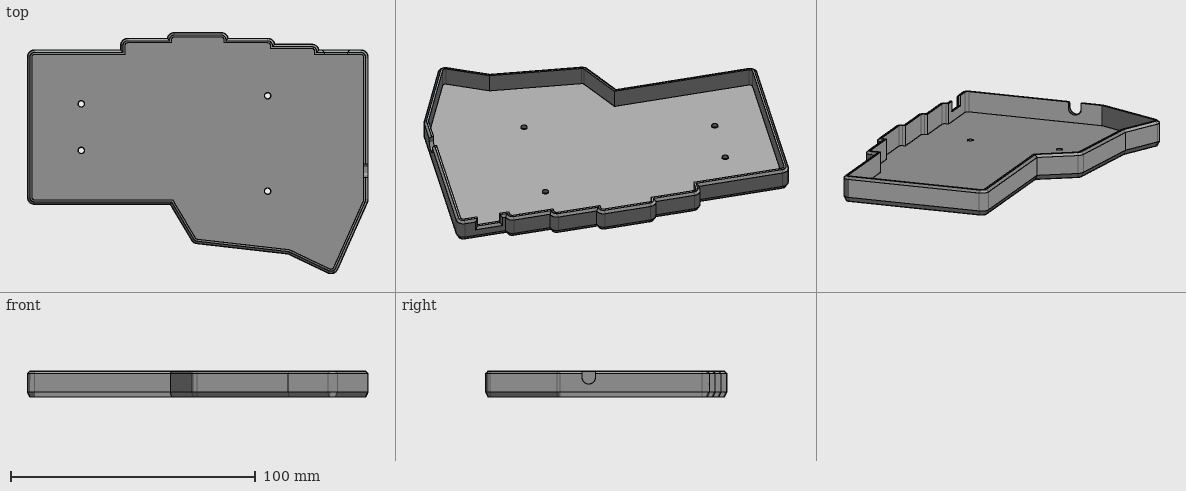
import cadquery as cq
PITCH = 19.05
COLUMNS = 7
ROWS = 3
STAGGER = 2.375
CONTROLLER_X = 113.3
grid_width = COLUMNS * PITCH
grid_depth = ROWS * PITCH

THUMB_CORNERS = [
    (3 * PITCH, 0.0),
    (66.7, -16.1),
    (104.5, -20.4),
    (121.15, -28.345),
    (grid_width, -1.0),
]

HEIGHT = 10.6
FLOOR = 2.0
CLEARANCE = 1.2
WALL = 1.8
TOP_CHAMFER = 1.0
TOP_CHAMFER_ANGLE = 45
BOTTOM_CHAMFER = 1.0
BOTTOM_CHAMFER_HEIGHT = 2.0
outer_offset = CLEARANCE + WALL

SCREW_DIAMETER = 2.5
SCREW_CENTRES = [
    (PITCH, PITCH),
    (PITCH, 2 * PITCH),
    (5 * PITCH, 2.4),
    (5 * PITCH, 41.4),
]

USB_WIDTH = 9.4
USB_X = 123.2
USB_BOTTOM = 6.2

JACK_WIDTH = 5.5
JACK_Y = 10.8
JACK_Z = 8.1

CUT_LENGTH = 2 * outer_offset


def case_outline(offset):
    """Key-field outline grown outward, with rounded convex corners."""
    one_step = grid_depth + STAGGER
    two_steps = grid_depth + 2 * STAGGER
    three_steps = grid_depth + 3 * STAGGER
    points = [
        (0, 0),
        (0, grid_depth),
        (2 * PITCH, grid_depth),
        (2 * PITCH, two_steps),
        (3 * PITCH, two_steps),
        (3 * PITCH, three_steps),
        (4 * PITCH, three_steps),
        (4 * PITCH, two_steps),
        (5 * PITCH, two_steps),
        (5 * PITCH, one_step),
        (CONTROLLER_X, one_step),
        (CONTROLLER_X, grid_depth),
        (grid_width, grid_depth),
    ]
    points += reversed(THUMB_CORNERS)
    return cq.Workplane("XY").polyline(points).close().offset2D(offset, "arc")


def open_case():
    """Tray with chamfered outer top and bottom edges."""
    body = case_outline(outer_offset).extrude(HEIGHT)
    body = body.faces("<Z").chamfer(BOTTOM_CHAMFER_HEIGHT, BOTTOM_CHAMFER)
    body = body.faces(">Z").chamfer(TOP_CHAMFER)
    cavity = case_outline(CLEARANCE).extrude(HEIGHT).translate((0, 0, FLOOR))
    return body.cut(cavity)


def screw_holes():
    return cq.Workplane("XY").pushPoints(SCREW_CENTRES).circle(SCREW_DIAMETER / 2).extrude(FLOOR)


def usb_notch():
    """Open-topped notch whose outer rim is chamfered like the top edge."""
    outer_face = cq.Workplane("XZ", origin=(USB_X, grid_depth + outer_offset, USB_BOTTOM + HEIGHT / 2))
    notch = outer_face.rect(USB_WIDTH, HEIGHT).extrude(CUT_LENGTH)
    rim_width = USB_WIDTH + 2 * TOP_CHAMFER
    rim_height = HEIGHT + 2 * TOP_CHAMFER
    rim = outer_face.rect(rim_width, rim_height).extrude(TOP_CHAMFER, taper=TOP_CHAMFER_ANGLE)
    return notch.union(rim)


def jack_slot():
    """Open-topped slot with a round bottom."""
    side_plane = cq.Workplane("YZ", origin=(grid_width, JACK_Y, JACK_Z))
    round_bottom = side_plane.circle(JACK_WIDTH / 2).extrude(CUT_LENGTH)
    open_top = side_plane.center(0, HEIGHT / 2).rect(JACK_WIDTH, HEIGHT).extrude(CUT_LENGTH)
    return round_bottom.union(open_top)


result = open_case().cut(screw_holes()).cut(usb_notch()).cut(jack_slot())